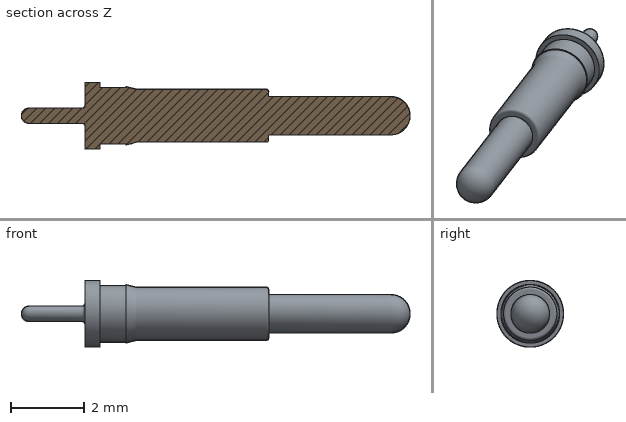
import cadquery as cq
import math


overall_length = 10.64
tail_diameter = 0.43
flange_diameter = 1.83
collar_diameter = 1.56
taper_diameter = 1.61
barrel_diameter = 1.46
plunger_diameter = 1.06

tail_length = 1.74
flange_thickness = 0.42
collar_length = 0.70
taper_length = 0.29
barrel_length = 3.62
tail_fillet = 0.075
mouth_round = 0.07

tail_radius = tail_diameter / 2
flange_radius = flange_diameter / 2
collar_radius = collar_diameter / 2
taper_radius = taper_diameter / 2
barrel_radius = barrel_diameter / 2
plunger_radius = plunger_diameter / 2

tail_tip = -overall_length / 2
flange_start = tail_tip + tail_length
flange_end = flange_start + flange_thickness
collar_end = flange_end + collar_length
taper_end = collar_end + taper_length
barrel_end = taper_end + barrel_length
plunger_tip = overall_length / 2

quarter_mid = math.sqrt(0.5)


def half_profile():
    """Closed outline of the pin on one side of its axis, from tail tip to plunger tip."""
    tail_center = tail_tip + tail_radius
    dome_center = plunger_tip - plunger_radius
    fillet_start = flange_start - tail_fillet
    fillet_rim = tail_radius + tail_fillet
    round_start = barrel_end - mouth_round
    round_base = barrel_radius - mouth_round

    return (
        cq.Workplane("XY")
        .moveTo(tail_tip, 0)
        .threePointArc(
            (tail_center - tail_radius * quarter_mid, tail_radius * quarter_mid),
            (tail_center, tail_radius),
        )
        .lineTo(fillet_start, tail_radius)
        .threePointArc(
            (
                fillet_start + tail_fillet * quarter_mid,
                fillet_rim - tail_fillet * quarter_mid,
            ),
            (flange_start, fillet_rim),
        )
        .lineTo(flange_start, flange_radius)
        .lineTo(flange_end, flange_radius)
        .lineTo(flange_end, collar_radius)
        .lineTo(collar_end, collar_radius)
        .lineTo(collar_end, taper_radius)
        .lineTo(taper_end, barrel_radius)
        .lineTo(round_start, barrel_radius)
        .threePointArc(
            (
                round_start + mouth_round * quarter_mid,
                round_base + mouth_round * quarter_mid,
            ),
            (barrel_end, round_base),
        )
        .lineTo(barrel_end, plunger_radius)
        .lineTo(dome_center, plunger_radius)
        .threePointArc(
            (dome_center + plunger_radius * quarter_mid, plunger_radius * quarter_mid),
            (plunger_tip, 0),
        )
        .close()
    )


result = half_profile().revolve(360, (0, 0, 0), (1, 0, 0))